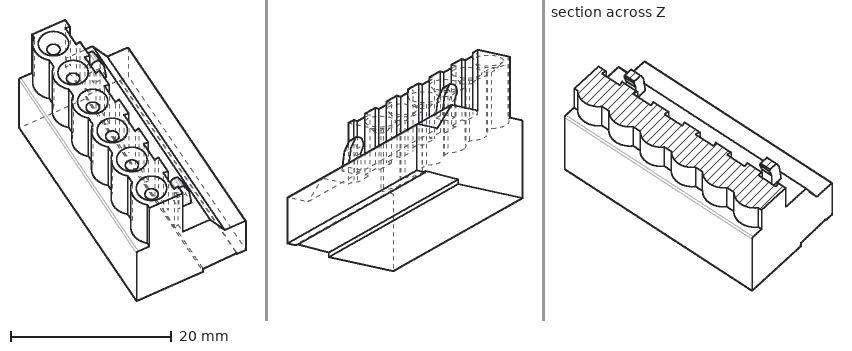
import cadquery as cq
import math


length = 30.48
depth = 15.5
height = 18.4
pole_count = 6
pitch = length / pole_count

shoulder_height = 10.33
rear_height = 6.8
slope_top_y = 10.42
slope_foot_y = 12.5
front_edge_radius = 0.25
rear_edge_radius = 0.18

rear_lip_height = 0.6
recess_height = 0.8
lip_front_y = 14.23
foot_rear_y = 9.45

tower_front_y = 1.83
tower_rear_y = 6.55
screw_y = 3.5
lobe_radius = 2.6
funnel_top_radius = 1.9
funnel_floor_radius = 0.82
funnel_depth = 1.22

dovetail_mouth_width = 2.55
dovetail_floor_width = 2.85
dovetail_depth = 0.6

hook_width = 1.6
hook_center_x = 11.03
hook_front_y = 7.83
hook_rear_y = 9.65
hook_neck_z = 12.6
hook_nose_y = 7.45
hook_nose_z = 13.78
hook_knee_y = 9.3
hook_knee_z = 12.95
hook_tip_z = 14.6
hook_tip_front_y = 7.7
hook_tip_rear_y = 8.53
hook_tip_front_radius = 0.5
hook_tip_rear_radius = 0.25

pole_positions = [(i - (pole_count - 1) / 2) * pitch for i in range(pole_count)]


def extrude_along_x(profile, width, center_x=0.0):
    """Extrude a closed (Y, Z) outline over a width centred on center_x."""
    plane = cq.Workplane("YZ", origin=(center_x - width / 2, 0, 0))
    return plane.polyline(profile).close().extrude(width)


def round_edge(solid, midpoint, radius):
    """Fillet the single edge whose middle lies at midpoint."""
    return solid.edges(cq.selectors.NearestToPointSelector(midpoint)).fillet(radius)


def make_body():
    body = extrude_along_x(
        [
            (0, 0),
            (0, shoulder_height),
            (slope_top_y, shoulder_height),
            (slope_foot_y, rear_height),
            (depth, rear_height),
            (depth, rear_lip_height),
            (lip_front_y, rear_lip_height),
            (lip_front_y, recess_height),
            (foot_rear_y, rear_lip_height),
            (foot_rear_y, 0),
        ],
        length,
    )
    body = round_edge(body, (0, 0, shoulder_height), front_edge_radius)
    return round_edge(body, (0, depth, rear_height), rear_edge_radius)


def make_tower():
    """Tower whose front face bulges into lobes concentric with the screw openings."""
    lobe_half_chord = math.sqrt(lobe_radius**2 - (screw_y - tower_front_y) ** 2)
    outline = cq.Workplane("XY", origin=(0, 0, shoulder_height))
    outline = outline.moveTo(-length / 2, tower_rear_y).lineTo(-length / 2, tower_front_y)
    for x in pole_positions:
        outline = outline.lineTo(x - lobe_half_chord, tower_front_y)
        outline = outline.threePointArc(
            (x, screw_y - lobe_radius),
            (x + lobe_half_chord, tower_front_y),
        )
    outline = outline.lineTo(length / 2, tower_front_y).lineTo(length / 2, tower_rear_y)
    return outline.close().extrude(height - shoulder_height)


def make_funnel(x):
    """Conical screw opening with a flat floor."""
    floor_center = cq.Vector(x, screw_y, height - funnel_depth)
    cone = cq.Solid.makeCone(funnel_floor_radius, funnel_top_radius, funnel_depth, pnt=floor_center)
    return cq.Workplane(cone)


def make_dovetail_groove(x):
    """Groove that widens inwards and runs down to the shoulder."""
    floor_y = tower_rear_y - dovetail_depth
    profile = [
        (x - dovetail_mouth_width / 2, tower_rear_y),
        (x + dovetail_mouth_width / 2, tower_rear_y),
        (x + dovetail_floor_width / 2, floor_y),
        (x - dovetail_floor_width / 2, floor_y),
    ]
    plane = cq.Workplane("XY", origin=(0, 0, shoulder_height))
    return plane.polyline(profile).close().extrude(height - shoulder_height)


def make_hook(center_x):
    """Latch arm leaning forward, with a nose towards the tower."""
    hook = extrude_along_x(
        [
            (hook_front_y, shoulder_height),
            (hook_front_y, hook_neck_z),
            (hook_nose_y, hook_nose_z),
            (hook_tip_front_y, hook_tip_z),
            (hook_tip_rear_y, hook_tip_z),
            (hook_knee_y, hook_knee_z),
            (hook_rear_y, shoulder_height),
        ],
        hook_width,
        center_x,
    )
    hook = round_edge(hook, (center_x, hook_tip_front_y, hook_tip_z), hook_tip_front_radius)
    return round_edge(hook, (center_x, hook_tip_rear_y, hook_tip_z), hook_tip_rear_radius)


result = make_body().union(make_tower())
for pole_x in pole_positions:
    result = result.cut(make_funnel(pole_x))
    result = result.cut(make_dovetail_groove(pole_x))
for side in (-1, 1):
    result = result.union(make_hook(side * hook_center_x))